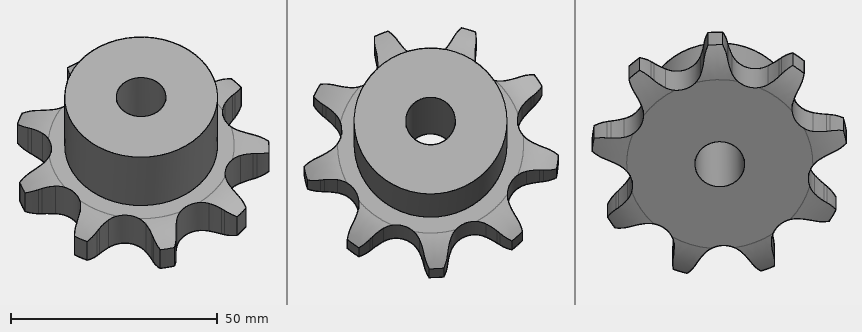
import cadquery as cq
import math

TOOTH_COUNT = 9
CHAIN_PITCH = 19.0
ROLLER_DIAMETER = 12.1
TIP_DIAMETER = 62.0
PLATE_THICKNESS = 11.0
TOTAL_HEIGHT = 30.0
HUB_DIAMETER = 37.0
BORE_DIAMETER = 12.0

RELIEF_START_RADIUS = 22.55
RELIEF_DEPTH = 1.85

SEAT_CLEARANCE = 0.04
SEAT_RADIUS = 0.5025 * ROLLER_DIAMETER + SEAT_CLEARANCE
FLANK_CENTRE_OFFSET = 0.8 * ROLLER_DIAMETER
FLANK_RADIUS = SEAT_RADIUS + FLANK_CENTRE_OFFSET
CREST_CENTRE_OFFSET = 1.4 * ROLLER_DIAMETER
SEAT_END_ANGLE = -(35 + 60 / TOOTH_COUNT)
FLANK_SWEEP = 18 - 56 / TOOTH_COUNT
FLANK_END_ANGLE = SEAT_END_ANGLE + FLANK_SWEEP

HALF_TOOTH_ANGLE = 180 / TOOTH_COUNT
PITCH_RADIUS = CHAIN_PITCH / (2 * math.sin(math.radians(HALF_TOOTH_ANGLE)))
TIP_RADIUS = TIP_DIAMETER / 2


def polar(centre, radius, degrees):
    """Point at a distance and direction from a centre."""
    angle = math.radians(degrees)
    return (centre[0] + radius * math.cos(angle), centre[1] + radius * math.sin(angle))


def mirrored(point):
    return (-point[0], point[1])


def relieved_disc():
    """Toothless disc whose flat faces run into tangent arcs that drop towards the rim."""
    run = TIP_RADIUS - RELIEF_START_RADIUS
    arc_radius = (run**2 + RELIEF_DEPTH**2) / (2 * RELIEF_DEPTH)
    half_sweep = math.degrees(math.asin(run / arc_radius)) / 2
    upper_centre = (RELIEF_START_RADIUS, PLATE_THICKNESS - arc_radius)
    lower_centre = (RELIEF_START_RADIUS, arc_radius)
    return (
        cq.Workplane("XZ")
        .lineTo(RELIEF_START_RADIUS, 0)
        .threePointArc(polar(lower_centre, arc_radius, half_sweep - 90), (TIP_RADIUS, RELIEF_DEPTH))
        .lineTo(TIP_RADIUS, PLATE_THICKNESS - RELIEF_DEPTH)
        .threePointArc(
            polar(upper_centre, arc_radius, 90 - half_sweep), (RELIEF_START_RADIUS, PLATE_THICKNESS)
        )
        .lineTo(0, PLATE_THICKNESS)
        .close()
        .revolve(360, (0, 0, 0), (0, 1, 0))
    )


def tooth_gap():
    """Cutter for the gap centred on +Y: roller seat, concave flanks, straights and convex crests."""
    seat_centre = (0, PITCH_RADIUS)
    flank_centre = polar(seat_centre, FLANK_CENTRE_OFFSET, 180 + SEAT_END_ANGLE)
    crest_centre = polar(seat_centre, CREST_CENTRE_OFFSET, -HALF_TOOTH_ANGLE)

    seat_root = polar(seat_centre, SEAT_RADIUS, -90)
    seat_end = polar(seat_centre, SEAT_RADIUS, SEAT_END_ANGLE)
    flank_middle = polar(flank_centre, FLANK_RADIUS, SEAT_END_ANGLE + FLANK_SWEEP / 2)
    flank_end = polar(flank_centre, FLANK_RADIUS, FLANK_END_ANGLE)

    normal = polar((0, 0), 1, FLANK_END_ANGLE)
    crest_radius = (
        (crest_centre[0] - flank_end[0]) * normal[0] + (crest_centre[1] - flank_end[1]) * normal[1]
    )
    crest_start_angle = 180 + FLANK_END_ANGLE
    crest_end_angle = 90
    crest_start = polar(crest_centre, crest_radius, crest_start_angle)
    crest_middle = polar(crest_centre, crest_radius, (crest_start_angle + crest_end_angle) / 2)
    crest_end = polar(crest_centre, crest_radius, crest_end_angle)

    return (
        cq.Workplane("XY")
        .moveTo(*mirrored(crest_end))
        .threePointArc(mirrored(crest_middle), mirrored(crest_start))
        .lineTo(*mirrored(flank_end))
        .threePointArc(mirrored(flank_middle), mirrored(seat_end))
        .threePointArc(seat_root, seat_end)
        .threePointArc(flank_middle, flank_end)
        .lineTo(*crest_start)
        .threePointArc(crest_middle, crest_end)
        .close()
        .extrude(PLATE_THICKNESS)
    )


def toothed_plate():
    plate = relieved_disc()
    gap = tooth_gap()
    for index in range(TOOTH_COUNT):
        plate = plate.cut(gap.rotate((0, 0, 0), (0, 0, 1), index * 2 * HALF_TOOTH_ANGLE))
    return plate


hub = cq.Workplane("XY").circle(HUB_DIAMETER / 2).extrude(TOTAL_HEIGHT)
bore = cq.Workplane("XY").circle(BORE_DIAMETER / 2).extrude(TOTAL_HEIGHT)
result = toothed_plate().union(hub).cut(bore)